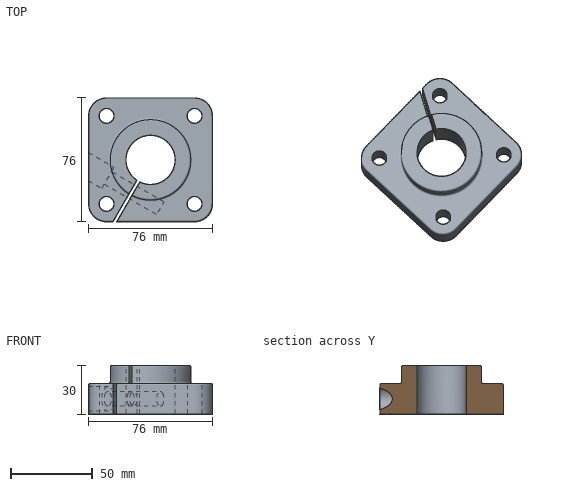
import cadquery as cq
import math

flange_side = 76.0
flange_height = 19.0
corner_radius = 11.0
mount_hole_diameter = 9.0
mount_hole_spacing = flange_side - 2 * corner_radius

boss_diameter = 49.4
total_height = 30.0
boss_height = total_height - flange_height
bore_diameter = 30.0
edge_radius = 1.0

slit_width = 2.0
slit_angle = 240.0

screw_offset = 22.65
screw_height = flange_height / 2
screw_diameter = 9.0
counterbore_diameter = 15.0
counterbore_floor = 17.2
screw_depth_past_slit = 20.0


def make_body():
    """Flange with rounded corners, topped by the boss, with rounded edges."""
    flange = (
        cq.Workplane("XY")
        .rect(flange_side, flange_side)
        .extrude(flange_height)
        .edges("|Z")
        .fillet(corner_radius)
        .faces(">Z")
        .edges()
        .fillet(edge_radius)
    )
    boss = (
        cq.Workplane("XY")
        .circle(boss_diameter / 2)
        .extrude(total_height)
        .faces(">Z")
        .edges()
        .fillet(edge_radius)
    )
    body = flange.union(boss)
    foot_zone = cq.selectors.BoxSelector(
        (-boss_diameter / 2, -boss_diameter / 2, flange_height - edge_radius / 2),
        (boss_diameter / 2, boss_diameter / 2, flange_height + edge_radius / 2),
    )
    return body.edges(foot_zone).edges("%CIRCLE").fillet(edge_radius)


def make_vertical_holes():
    """Central bore and the four mounting holes."""
    bore = cq.Workplane("XY").circle(bore_diameter / 2).extrude(total_height)
    mount_holes = (
        cq.Workplane("XY")
        .rect(mount_hole_spacing, mount_hole_spacing, forConstruction=True)
        .vertices()
        .circle(mount_hole_diameter / 2)
        .extrude(flange_height)
    )
    return bore.union(mount_holes)


def make_slit():
    """Thin slab from the bore axis outward along the slit direction."""
    return (
        cq.Workplane("XY")
        .rect(flange_side, slit_width)
        .extrude(total_height)
        .translate((flange_side / 2, 0, 0))
        .rotate((0, 0, 0), (0, 0, 1), slit_angle)
    )


def make_screw_hole():
    """Blind screw hole across the slit, with its counterbore open to the -X side."""
    slit_direction = math.radians(slit_angle)
    crossing = cq.Vector(
        screw_offset * math.cos(slit_direction),
        screw_offset * math.sin(slit_direction),
        screw_height,
    )
    inward = cq.Vector(-math.sin(slit_direction), math.cos(slit_direction), 0)
    floor_centre = crossing - inward * counterbore_floor
    screw = cq.Solid.makeCylinder(
        screw_diameter / 2, counterbore_floor + screw_depth_past_slit, floor_centre, inward
    )
    counterbore = cq.Solid.makeCylinder(
        counterbore_diameter / 2, flange_side / 2, floor_centre, inward * -1
    )
    return cq.Workplane(screw).union(cq.Workplane(counterbore))


result = make_body().cut(make_vertical_holes()).cut(make_slit()).cut(make_screw_hole())